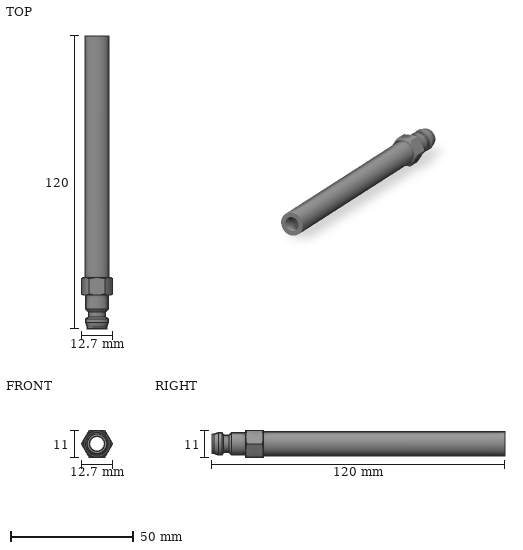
import cadquery as cq
import math

total_length = 120.0
tip_length = 0.8
bead_start = 2.6
bead_end = 4.1
neck_start = 4.8
neck_end = 7.0
body_start = 8.0
hex_start = 13.8
hex_length = 7.2

bore_diameter = 6.0
tip_diameter = 8.0
bead_diameter = 9.2
neck_diameter = 7.1
body_diameter = 9.2
tube_diameter = 10.0

hex_across_flats = 11.0
hex_across_corners = hex_across_flats / math.cos(math.pi / 6)
hex_face_diameter = 11.0
hex_chamfer_angle = 30.0

hex_end = hex_start + hex_length
tip_y = -total_length / 2


def revolve_profile(stations):
    """Solid of revolution about Y from (distance from tip, diameter) stations."""
    outline = [(diameter / 2, tip_y + distance) for distance, diameter in stations]
    first_y = outline[0][1]
    last_y = outline[-1][1]
    points = [(0, first_y)] + outline + [(0, last_y)]
    return cq.Workplane("XY").polyline(points).close().revolve(360, (0, 0), (0, 1))


def make_nozzle_and_tube():
    return revolve_profile([
        (0, tip_diameter),
        (tip_length, tip_diameter),
        (bead_start, bead_diameter),
        (bead_end, bead_diameter),
        (neck_start, neck_diameter),
        (neck_end, neck_diameter),
        (body_start, body_diameter),
        (hex_start, body_diameter),
        (hex_start, tube_diameter),
        (total_length, tube_diameter),
    ])


def make_hexagon():
    """Hexagon with corners on +X and -X, its corners turned off conically at both ends."""
    prism = (
        cq.Workplane("XZ", origin=(0, tip_y + hex_start, 0))
        .polygon(6, hex_across_corners)
        .extrude(-hex_length)
    )
    radial_depth = (hex_across_corners - hex_face_diameter) / 2
    chamfer_length = radial_depth * math.tan(math.radians(hex_chamfer_angle))
    turned_envelope = revolve_profile([
        (hex_start, hex_face_diameter),
        (hex_start + chamfer_length, hex_across_corners),
        (hex_end - chamfer_length, hex_across_corners),
        (hex_end, hex_face_diameter),
    ])
    return prism.intersect(turned_envelope)


bore = revolve_profile([(0, bore_diameter), (total_length, bore_diameter)])
result = make_nozzle_and_tube().union(make_hexagon()).cut(bore)